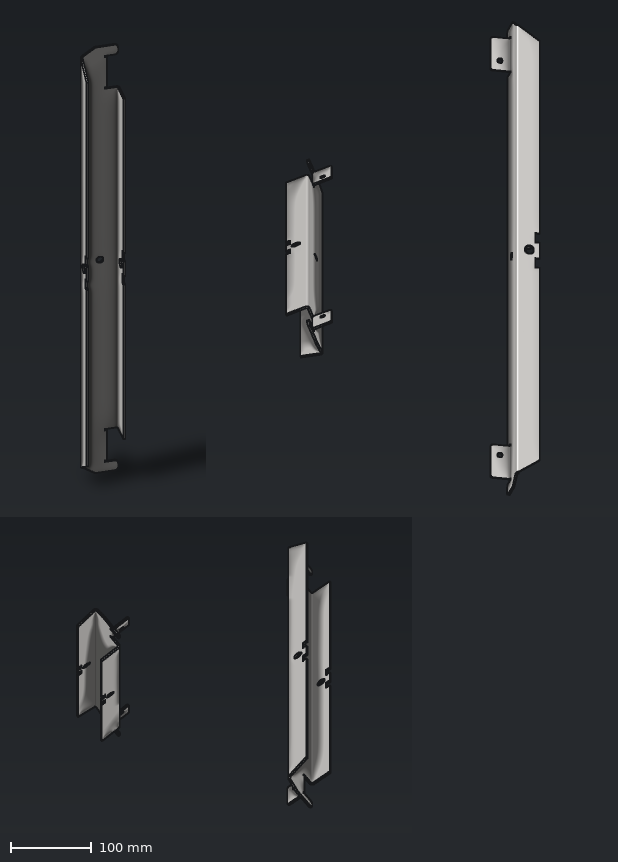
import cadquery as cq
import math

HEIGHT = 630.0
WIDTH = 50.0
FLANGE_DEPTH = 30.0
SHEET = 2.5
BEND_RADIUS = 4.0
HALF_HEIGHT = HEIGHT / 2
HALF_WIDTH = WIDTH / 2
FLAT_HALF_WIDTH = HALF_WIDTH - BEND_RADIUS

WEB_SLOPE_START = 19.0
WEB_SLOPE_DROP = 12.5
FLANGE_SLOPE_DROP = 31.0

HOOK_HEIGHT = 14.5
HOOK_SETBACK = 1.0
HOOK_RADIUS = 5.0
NOTCH_HEIGHT = 48.5
NOTCH_FLOOR = 6.0
SHORT_FLANGE_HEIGHT = HEIGHT - 2 * (HOOK_HEIGHT + NOTCH_HEIGHT)

TAB_REACH = 24.5
TAB_HEIGHT = 45.0
TAB_CORNER_RADIUS = 3.0
TAB_HOLE_DIAMETER = 6.0
TAB_HOLE_FROM_END = 12.0
TAB_HOLE_OFFSET = 9.0
TAB_CENTRE_Z = HALF_HEIGHT - HOOK_HEIGHT - NOTCH_HEIGHT / 2

WEB_HOLE_DIAMETER = 9.0
FLANGE_HOLE_DIAMETER = 11.5
FLANGE_HOLE_X = 17.0
EDGE_NOTCH_DEPTH = 5.5
EDGE_NOTCH_HEIGHT = 12.5
EDGE_NOTCH_OFFSET = 17.0


def bent_leaf(length, height):
    """Quarter bend leaving the web at Y = 0, then a flat leaf reaching X = length."""
    diagonal = math.sqrt(0.5)
    inner_radius = BEND_RADIUS - SHEET
    outer_middle = (BEND_RADIUS * (1 - diagonal), BEND_RADIUS * diagonal)
    inner_middle = (BEND_RADIUS - inner_radius * diagonal, inner_radius * diagonal)
    return (
        cq.Workplane("XY")
        .threePointArc(outer_middle, (BEND_RADIUS, BEND_RADIUS))
        .lineTo(length, BEND_RADIUS)
        .lineTo(length, inner_radius)
        .lineTo(BEND_RADIUS, inner_radius)
        .threePointArc(inner_middle, (SHEET, 0))
        .close()
        .extrude(height / 2, both=True)
    )


def web():
    """Flat web with a rounded hook above and below each notch of the +Y edge."""
    plate = (
        cq.Workplane("XY")
        .box(SHEET, 2 * FLAT_HALF_WIDTH, SHORT_FLANGE_HEIGHT, centered=(False, True, True))
    )
    narrow_width = NOTCH_FLOOR + FLAT_HALF_WIDTH
    spine = (
        cq.Workplane("XY")
        .box(SHEET, narrow_width, HEIGHT, centered=(False, False, True))
        .translate((0, -FLAT_HALF_WIDTH, 0))
    )
    hook_length = HALF_WIDTH - HOOK_SETBACK - NOTCH_FLOOR
    hook = (
        cq.Workplane("XY")
        .box(SHEET, hook_length, HOOK_HEIGHT, centered=(False, False, True))
        .edges("|X and >Y")
        .fillet(HOOK_RADIUS)
        .translate((0, NOTCH_FLOOR, HALF_HEIGHT - HOOK_HEIGHT / 2))
    )
    return plate.union(spine).union(hook).union(hook.mirror("XY"))


def upper_tab():
    """Drilled tab bent out of the upper notch towards -X."""
    hole = (
        cq.Workplane("XZ")
        .center(TAB_REACH + SHEET - TAB_HOLE_FROM_END, -TAB_HOLE_OFFSET)
        .circle(TAB_HOLE_DIAMETER / 2)
        .extrude(WIDTH, both=True)
    )
    return (
        bent_leaf(TAB_REACH + SHEET, TAB_HEIGHT)
        .edges("|Y and >X")
        .fillet(TAB_CORNER_RADIUS)
        .cut(hole)
        .mirror("YZ")
        .translate((SHEET, NOTCH_FLOOR, TAB_CENTRE_Z))
    )


def upper_slopes():
    """Material removed above the sloping end of the web and of the long flange."""
    web_slope = (
        cq.Workplane("YZ")
        .polyline([
            (-HALF_WIDTH + WEB_SLOPE_START, HALF_HEIGHT),
            (-HALF_WIDTH, HALF_HEIGHT),
            (-HALF_WIDTH, HALF_HEIGHT - WEB_SLOPE_DROP),
        ])
        .close()
        .extrude(FLANGE_DEPTH)
    )
    flange_slope = (
        cq.Workplane("XZ", origin=(0, -FLAT_HALF_WIDTH, 0))
        .polyline([
            (BEND_RADIUS, HALF_HEIGHT),
            (FLANGE_DEPTH, HALF_HEIGHT),
            (FLANGE_DEPTH, HALF_HEIGHT - FLANGE_SLOPE_DROP),
            (BEND_RADIUS, HALF_HEIGHT - WEB_SLOPE_DROP),
        ])
        .close()
        .extrude(BEND_RADIUS)
    )
    return web_slope.union(flange_slope)


def middle_openings():
    """Hole in the web, plus a hole and two edge notches through both flanges."""
    openings = cq.Workplane("YZ").circle(WEB_HOLE_DIAMETER / 2).extrude(SHEET)
    flange_hole = (
        cq.Workplane("XZ")
        .center(FLANGE_HOLE_X, 0)
        .circle(FLANGE_HOLE_DIAMETER / 2)
        .extrude(HALF_WIDTH, both=True)
    )
    openings = openings.union(flange_hole)
    notch_x = FLANGE_DEPTH - EDGE_NOTCH_DEPTH / 2
    for side in (1, -1):
        notch = cq.Workplane("XY").box(EDGE_NOTCH_DEPTH, WIDTH, EDGE_NOTCH_HEIGHT)
        openings = openings.union(notch.translate((notch_x, 0, side * EDGE_NOTCH_OFFSET)))
    return openings


long_flange = bent_leaf(FLANGE_DEPTH, HEIGHT).translate((0, FLAT_HALF_WIDTH, 0)).mirror("XZ")
short_flange = bent_leaf(FLANGE_DEPTH, SHORT_FLANGE_HEIGHT).translate((0, FLAT_HALF_WIDTH, 0))
channel = web().union(long_flange).union(short_flange)
for tab in (upper_tab(), upper_tab().mirror("XY")):
    channel = channel.union(tab)
for slopes in (upper_slopes(), upper_slopes().mirror("XY")):
    channel = channel.cut(slopes)
result = channel.cut(middle_openings())